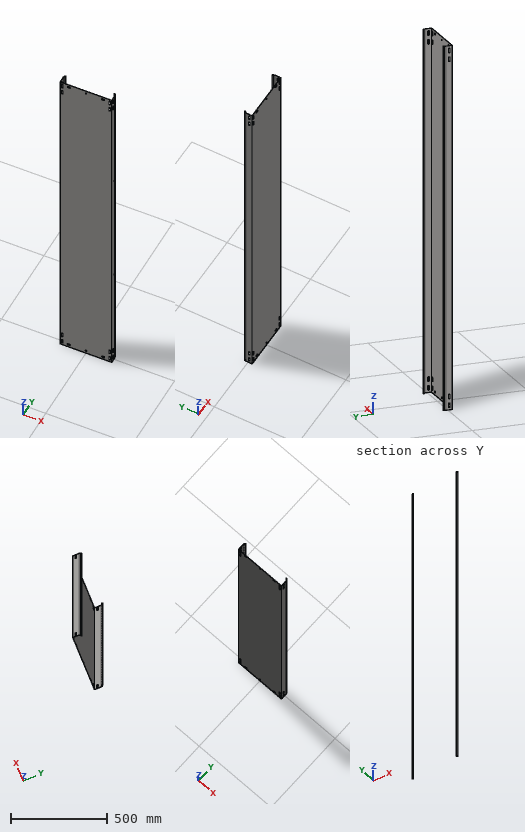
import cadquery as cq
import math

width = 300.0
depth = 50.0
length = 2000.0
half_width = width / 2
half_length = length / 2
front_y = -depth / 2
back_y = depth / 2

sheet = 1.5
lip_angle = 50.0
lip_flat_length = 9.6
corner_outer_radius = 0.5
fold_inner_radius = 2.3
fold_outer_radius = fold_inner_radius + sheet
hem_inner_radius = 1.5
hem_outer_radius = hem_inner_radius + sheet
hem_return_length = 6.3

corner_slot_length = 25.0
corner_slot_width = 8.0
corner_slot_end_distances = (26.0, 74.0)
web_slot_side_distance = 13.0
web_slot_x = half_width - web_slot_side_distance
flange_slot_front_distance = 17.5
flange_slot_y = front_y + flange_slot_front_distance

end_opening_distance = 18.0
end_slot_length = 16.0
end_slot_width = 8.0
end_slot_x = 99.5
end_hole_diameter = 7.0


def offset(point, distance, angle):
    """Point reached from `point` by moving `distance` in the direction `angle` (degrees)."""
    a = math.radians(angle)
    return (point[0] + distance * math.cos(a), point[1] + distance * math.sin(a))


def half_section():
    """Section of the half on the +X side: web, flange, lip folded inward and hem turned back outward."""
    normal = lip_angle
    along = lip_angle + 90.0
    back = lip_angle + 180.0

    hem_y = back_y - hem_outer_radius
    fold_to_hem = offset((0.0, 0.0), fold_outer_radius + hem_inner_radius, normal)
    fold_to_hem = offset(fold_to_hem, lip_flat_length, along)
    fold = (half_width - fold_outer_radius, hem_y - fold_to_hem[1])
    hem = (fold[0] + fold_to_hem[0], hem_y)

    corner = (half_width - corner_outer_radius, front_y + corner_outer_radius)

    return_inner = offset(hem, hem_inner_radius, normal)
    return_outer = offset(hem, hem_outer_radius, normal)

    return (
        cq.Workplane("XY")
        .moveTo(0, front_y)
        .lineTo(corner[0], front_y)
        .threePointArc(
            offset(corner, corner_outer_radius, -45.0),
            (half_width, corner[1]),
        )
        .lineTo(half_width, fold[1])
        .threePointArc(
            offset(fold, fold_outer_radius, lip_angle / 2),
            offset(fold, fold_outer_radius, normal),
        )
        .lineTo(*offset(hem, hem_inner_radius, back))
        .threePointArc(offset(hem, hem_inner_radius, along), return_inner)
        .lineTo(*offset(return_inner, -hem_return_length, along))
        .lineTo(*offset(return_outer, -hem_return_length, along))
        .lineTo(*return_outer)
        .threePointArc(
            offset(hem, hem_outer_radius, along),
            offset(hem, hem_outer_radius, back),
        )
        .lineTo(*offset(fold, fold_inner_radius, normal))
        .threePointArc(
            offset(fold, fold_inner_radius, lip_angle / 2),
            (half_width - sheet, fold[1]),
        )
        .lineTo(half_width - sheet, front_y + sheet)
        .lineTo(0, front_y + sheet)
        .close()
    )


def folded_sheet():
    """Full-length channel, symmetric about the YZ plane."""
    half = half_section().extrude(length).translate((0, 0, -half_length))
    return half.union(half.mirror("YZ")).clean()


def web_plane():
    """Workplane on the front face of the web, local x along X and local y along Z."""
    return cq.Workplane("XZ", origin=(0, front_y, 0))


def corner_slots():
    """Cutters for the upright slots near the four corners of the web and the ends of the flanges."""
    heights = [
        end * (half_length - distance)
        for end in (-1, 1)
        for distance in corner_slot_end_distances
    ]
    web_points = [(side * web_slot_x, z) for side in (-1, 1) for z in heights]
    flange_points = [(flange_slot_y, z) for z in heights]
    web_cutters = (
        web_plane()
        .pushPoints(web_points)
        .slot2D(corner_slot_length, corner_slot_width, 90)
        .extrude(-sheet)
    )
    flange_cutters = (
        cq.Workplane("YZ")
        .pushPoints(flange_points)
        .slot2D(corner_slot_length, corner_slot_width, 90)
        .extrude(half_width, both=True)
    )
    return web_cutters, flange_cutters


def end_openings():
    """Cutters for the two level slots and the middle hole at each short end of the web."""
    heights = [end * (half_length - end_opening_distance) for end in (-1, 1)]
    slot_points = [(side * end_slot_x, z) for side in (-1, 1) for z in heights]
    hole_points = [(0, z) for z in heights]
    slots = web_plane().pushPoints(slot_points).slot2D(end_slot_length, end_slot_width).extrude(-sheet)
    holes = web_plane().pushPoints(hole_points).circle(end_hole_diameter / 2).extrude(-sheet)
    return slots, holes


result = folded_sheet()
for cutter in corner_slots() + end_openings():
    result = result.cut(cutter)